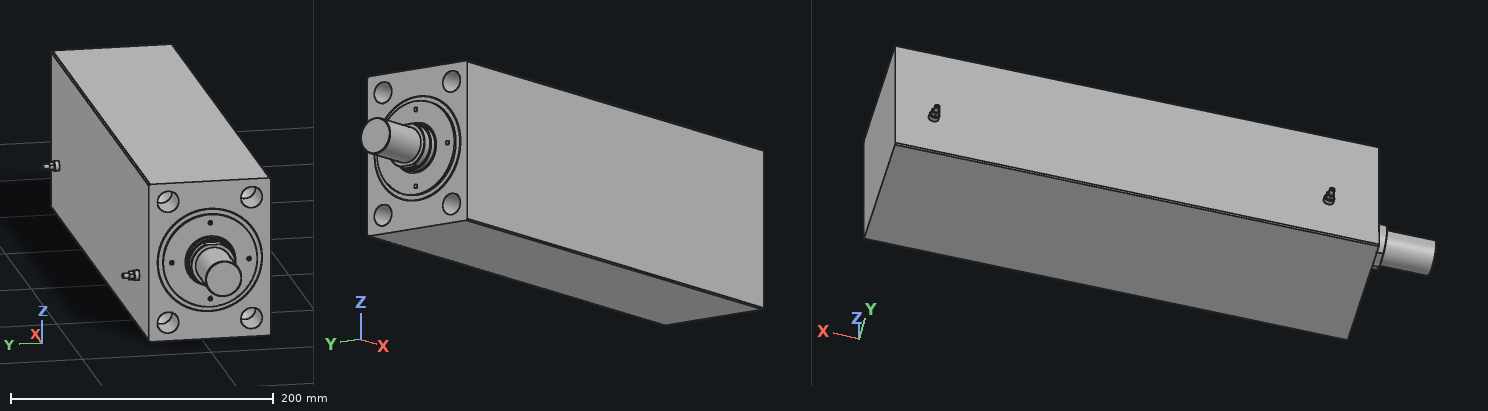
import cadquery as cq
import math

total_length = 435.0

housing_face_x = 54.0
housing_width = 95.0
housing_height = 125.0
edge_chamfer = 1.1
bolt_spacing_y = 65.0
bolt_spacing_z = 95.5
bolt_hole_diameter = 16.5
bolt_hole_depth = 26.0
drill_point_angle = 118.0

cover_diameter = 81.5
cover_depth = 13.0
cover_chamfer = 0.5
boss_diameter = 73.0
boss_face_x = 51.8
pin_hole_circle_diameter = 60.0
pin_hole_diameter = 3.0
pin_hole_depth = 4.5
pin_hole_count = 4

wiper_diameter = 39.0
wiper_seat_depth = 6.5
wiper_lip_diameter = 36.5
wiper_lip_x = 46.5
wiper_lip_chamfer = 0.65

rod_diameter = 35.0
rod_end_diameter = 28.0
rod_end_length = 39.5
rod_flat_spacing = 32.0
rod_chamfer = 0.5

nipple_x_positions = (94.0, 405.0)
nipple_z = -20.5
nipple_height = 12.5
nipple_base_diameter = 8.0
nipple_base_height = 4.0
nipple_base_chamfer = 0.5
nipple_hex_across_flats = 5.5
nipple_hex_sides = 6
nipple_hex_height = 3.5
nipple_tip_diameter = 4.0
nipple_tip_chamfer = 1.0

cover_back_x = housing_face_x + cover_depth
wiper_back_x = boss_face_x + wiper_seat_depth
side_face_y = housing_width / 2
nipple_hex_corner_diameter = nipple_hex_across_flats / math.cos(math.pi / nipple_hex_sides)
nipple_tip_start = nipple_base_height + nipple_hex_height


def disc(diameter, start_x, end_x):
    """Cylinder about the rod axis between two X places."""
    return cq.Workplane("YZ", origin=(start_x, 0, 0)).circle(diameter / 2).extrude(end_x - start_x)


def make_bolt_hole():
    """Blind drilled hole with a conical end, starting at the housing face."""
    radius = bolt_hole_diameter / 2
    point_length = radius / math.tan(math.radians(drill_point_angle / 2))
    return (
        cq.Workplane("XY")
        .lineTo(0, radius)
        .lineTo(bolt_hole_depth, radius)
        .lineTo(bolt_hole_depth + point_length, 0)
        .close()
        .revolve(360, (0, 0, 0), (1, 0, 0))
        .translate((housing_face_x, 0, 0))
    )


def make_housing():
    block = (
        cq.Workplane("YZ", origin=(housing_face_x, 0, 0))
        .rect(housing_width, housing_height)
        .extrude(total_length - housing_face_x)
        .edges("|X")
        .chamfer(edge_chamfer)
    )
    block = block.cut(disc(cover_diameter, housing_face_x, cover_back_x))
    for side_y in (-1, 1):
        for side_z in (-1, 1):
            place = (0, side_y * bolt_spacing_y / 2, side_z * bolt_spacing_z / 2)
            block = block.cut(make_bolt_hole().translate(place))
    return block


def make_cover():
    cover = disc(cover_diameter, housing_face_x, cover_back_x).faces("<X").chamfer(cover_chamfer)
    cover = cover.union(disc(boss_diameter, boss_face_x, housing_face_x))
    cover = cover.cut(disc(rod_diameter, boss_face_x, cover_back_x))
    cover = cover.cut(disc(wiper_diameter, boss_face_x, wiper_back_x))
    pin_holes = (
        cq.Workplane("YZ", origin=(boss_face_x, 0, 0))
        .polarArray(pin_hole_circle_diameter / 2, 0, 360, pin_hole_count)
        .circle(pin_hole_diameter / 2)
        .extrude(pin_hole_depth)
    )
    return cover.cut(pin_holes)


def make_wiper():
    wiper = disc(wiper_diameter, boss_face_x, wiper_back_x)
    lip = disc(wiper_lip_diameter, wiper_lip_x, boss_face_x).faces("<X").chamfer(wiper_lip_chamfer)
    wiper = wiper.union(lip)
    return wiper.cut(disc(rod_diameter, wiper_lip_x, wiper_back_x))


def make_rod():
    rod = disc(rod_end_diameter, 0, rod_end_length).faces("<X").chamfer(rod_chamfer)
    shoulder = disc(rod_diameter, rod_end_length, cover_back_x).faces("<X").chamfer(rod_chamfer)
    rod = rod.union(shoulder)
    flat_length = wiper_lip_x - rod_end_length
    flat_depth = (rod_diameter - rod_flat_spacing) / 2
    for side in (-1, 1):
        place = (rod_end_length + flat_length / 2, 0, side * (rod_flat_spacing + flat_depth) / 2)
        rod = rod.cut(cq.Workplane("XY").box(flat_length, rod_diameter, flat_depth).translate(place))
    return rod


def make_nipple(x):
    """Bleed nipple standing on the +Y side: round base, hexagon with corners up and down, round tip."""
    base = cq.Workplane("XY").circle(nipple_base_diameter / 2).extrude(nipple_base_height)
    base = base.faces(">Z").chamfer(nipple_base_chamfer)
    hexagon = (
        cq.Workplane("XY", origin=(0, 0, nipple_base_height))
        .polygon(nipple_hex_sides, nipple_hex_corner_diameter)
        .extrude(nipple_hex_height)
        .rotate((0, 0, 0), (0, 0, 1), 90)
    )
    tip = (
        cq.Workplane("XY", origin=(0, 0, nipple_tip_start))
        .circle(nipple_tip_diameter / 2)
        .extrude(nipple_height - nipple_tip_start)
        .faces(">Z")
        .chamfer(nipple_tip_chamfer)
    )
    upright = base.union(hexagon).union(tip)
    return upright.rotate((0, 0, 0), (1, 0, 0), -90).translate((x, side_face_y, nipple_z))


housing = make_housing()
cover = make_cover()
wiper = make_wiper()
rod = make_rod()
nipples = [make_nipple(x).val() for x in nipple_x_positions]

result = cq.Compound.makeCompound([housing.val(), cover.val(), wiper.val(), rod.val(), *nipples])